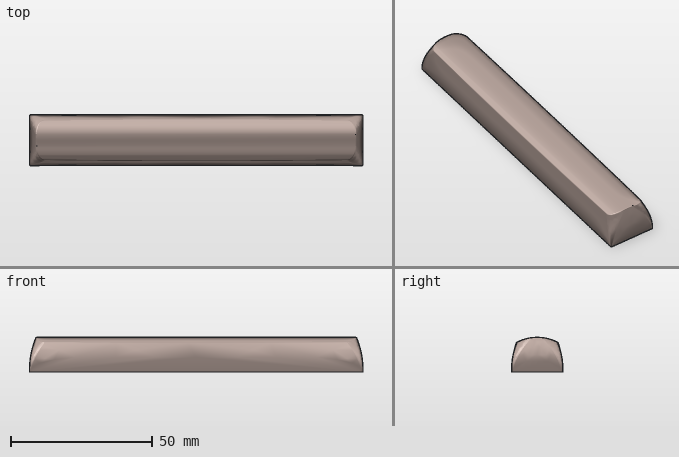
import cadquery as cq

LENGTH = 118.2
WIDTH = 18.1
HEIGHT = 12.4

CROWN_TRIM = 0.1
LOFT_HEIGHT = HEIGHT + CROWN_TRIM
MID_HEIGHT = LOFT_HEIGHT / 2
MID_INSET = 0.5
TOP_INSET = 2.4
TOP_LENGTH = LENGTH - 2 * TOP_INSET
TOP_WIDTH = WIDTH - 2 * TOP_INSET
SIDE_BOW = 0.6
BASE_CORNER_RADIUS = 0.5
MID_CORNER_RADIUS = 2.2
TOP_CORNER_RADIUS = 5.0

CROWN_DROP = 3.0
RIM_FILLET = 0.6
CUT_CLEARANCE = 1.2


def rounded_rectangle(inset, corner_radius, height):
    """Straight-sided outline, inset evenly from the footprint."""
    outline = cq.Sketch().rect(LENGTH - 2 * inset, WIDTH - 2 * inset).vertices().fillet(corner_radius)
    return outline.moved(cq.Location(cq.Vector(0, 0, height)))


def bowed_rectangle(height):
    """Top outline: four outward-bowed sides with rounded corners."""
    side_x = TOP_LENGTH / 2
    side_y = TOP_WIDTH / 2
    corner_x = side_x - SIDE_BOW
    corner_y = side_y - SIDE_BOW
    outline = (
        cq.Sketch()
        .arc((-corner_x, -corner_y), (-side_x, 0), (-corner_x, corner_y))
        .arc((-corner_x, corner_y), (0, side_y), (corner_x, corner_y))
        .arc((corner_x, corner_y), (side_x, 0), (corner_x, -corner_y))
        .arc((corner_x, -corner_y), (0, -side_y), (-corner_x, -corner_y))
        .assemble()
        .vertices()
        .fillet(TOP_CORNER_RADIUS)
    )
    return outline.moved(cq.Location(cq.Vector(0, 0, height)))


def crown_cutter():
    """Everything above a convex cylinder that runs along X."""
    ceiling = LOFT_HEIGHT + CUT_CLEARANCE
    edge_z = HEIGHT - CROWN_DROP
    return (
        cq.Workplane("YZ")
        .moveTo(-WIDTH / 2, edge_z)
        .threePointArc((0, HEIGHT), (WIDTH / 2, edge_z))
        .lineTo(WIDTH / 2, ceiling)
        .lineTo(-WIDTH / 2, ceiling)
        .close()
        .extrude(LENGTH / 2 + CUT_CLEARANCE, both=True)
    )


walls = (
    cq.Workplane("XY")
    .placeSketch(
        rounded_rectangle(0, BASE_CORNER_RADIUS, 0),
        rounded_rectangle(MID_INSET, MID_CORNER_RADIUS, MID_HEIGHT),
        bowed_rectangle(LOFT_HEIGHT),
    )
    .loft()
)
crowned = walls.cut(crown_cutter())
result = crowned.faces(">Z").edges().fillet(RIM_FILLET)